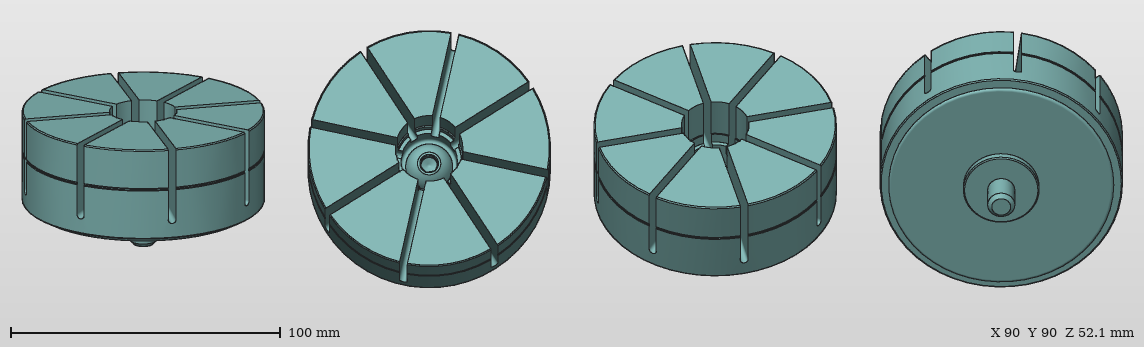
import cadquery as cq
import math


body_radius = 45.0
body_height = 35.0
edge_chamfer = 0.45

groove_top_depth = 15.0
groove_width = 1.0
groove_depth = 0.3
groove_floor_width = 0.45

bore_radius = 12.5
lower_bore_radius = 12.0
ledge_depth = 20.0
pocket_radius = 10.4
pocket_depth = 30.0
pocket_fillet = 1.0

slot_count = 8
slot_width = 3.0
slot_rim_depth = 29.2
slot_floor_tilt = 7.0
slot_inner_end = 7.2

flange_radius = 41.8
flange_height = 2.0
boss_radius = 14.0
boss_height = 3.0
pin_radius = 5.0
pin_length = 12.1
pin_chamfer = 1.5

head_radius = 8.7
head_height = 5.5
head_top_radius = 4.3
socket_across_flats = 6.0
socket_depth = 3.0
drill_point_angle = 118.0

cut_margin = 1.8


def disc(radius, bottom, height):
    return cq.Workplane("XY").workplane(offset=bottom).circle(radius).extrude(height)


def bore_section(radius, depth):
    return disc(radius, body_height - depth, depth)


def make_body():
    """Chamfered cylinder with the rim groove and the stepped bore."""
    body = disc(body_radius, 0, body_height).edges().chamfer(edge_chamfer)

    groove_top = body_height - groove_top_depth
    side_height = (groove_width - groove_floor_width) / 2
    groove = (
        cq.Workplane("XZ")
        .moveTo(body_radius, groove_top)
        .lineTo(body_radius - groove_depth, groove_top - side_height)
        .lineTo(body_radius - groove_depth, groove_top - side_height - groove_floor_width)
        .lineTo(body_radius, groove_top - groove_width)
        .close()
        .revolve(360, (0, 0, 0), (0, 1, 0))
    )
    pocket = bore_section(pocket_radius, pocket_depth).faces("<Z").edges().fillet(pocket_fillet)
    return (
        body.cut(groove)
        .cut(bore_section(bore_radius, groove_top_depth + groove_width))
        .cut(bore_section(lower_bore_radius, ledge_depth))
        .cut(pocket)
    )


def make_slot(angle):
    """Cutter for one slot, its floor rising from the rim towards the bore."""
    half_width = slot_width / 2
    cutter_height = body_height + cut_margin
    return (
        cq.Workplane("YZ")
        .workplane(offset=slot_inner_end - body_radius)
        .moveTo(-half_width, cutter_height)
        .lineTo(-half_width, half_width)
        .threePointArc((0, 0), (half_width, half_width))
        .lineTo(half_width, cutter_height)
        .close()
        .extrude(body_radius - slot_inner_end + 2 * cut_margin)
        .rotate((0, 0, 0), (0, 1, 0), slot_floor_tilt)
        .translate((body_radius, 0, body_height - slot_rim_depth))
        .rotate((0, 0, 0), (0, 0, 1), angle)
    )


def make_base():
    """Round-edged flange, chamfered boss and pin stacked below the body."""
    rim_radius = flange_height / 2
    flange = (
        cq.Workplane("XZ")
        .lineTo(flange_radius - rim_radius, 0)
        .threePointArc((flange_radius, -rim_radius), (flange_radius - rim_radius, -flange_height))
        .lineTo(0, -flange_height)
        .close()
        .revolve(360, (0, 0, 0), (0, 1, 0))
    )
    boss_bottom = -flange_height - boss_height
    boss = disc(boss_radius, boss_bottom, boss_height).faces("<Z").edges().chamfer(edge_chamfer)
    pin = disc(pin_radius, boss_bottom - pin_length, pin_length).faces("<Z").edges().chamfer(pin_chamfer)
    return flange.union(boss).union(pin)


def make_screw_head():
    """Domed head, flat on top, with a countersunk hexagon socket."""
    centre = (head_height**2 + head_top_radius**2 - head_radius**2) / (2 * head_height)
    sphere_radius = math.hypot(head_radius, centre)
    mid_height = head_height / 2
    mid_radius = math.sqrt(sphere_radius**2 - (mid_height - centre) ** 2)
    dome = (
        cq.Workplane("XZ")
        .lineTo(head_radius, 0)
        .threePointArc((mid_radius, mid_height), (head_top_radius, head_height))
        .lineTo(0, head_height)
        .close()
        .revolve(360, (0, 0, 0), (0, 1, 0))
    )

    socket_radius = socket_across_flats / 2
    corner_radius = socket_radius / math.cos(math.pi / 6)
    point_depth = socket_radius / math.tan(math.radians(drill_point_angle / 2))
    socket_floor = head_height - socket_depth
    hexagon = (
        cq.Workplane("XY")
        .workplane(offset=socket_floor)
        .polygon(6, 2 * corner_radius)
        .extrude(socket_depth)
    )
    drill_point = cq.Workplane(
        cq.Solid.makeCone(socket_radius, 0, point_depth, cq.Vector(0, 0, socket_floor), cq.Vector(0, 0, -1))
    )
    countersink = cq.Workplane(
        cq.Solid.makeCone(
            corner_radius, 0, corner_radius, cq.Vector(0, 0, head_height), cq.Vector(0, 0, -1)
        )
    )
    head = dome.cut(hexagon).cut(drill_point).cut(countersink)
    return head.translate((0, 0, body_height - pocket_depth))


result = make_body()
for i in range(slot_count):
    result = result.cut(make_slot((i + 0.5) * 360 / slot_count))
result = result.union(make_base()).union(make_screw_head())